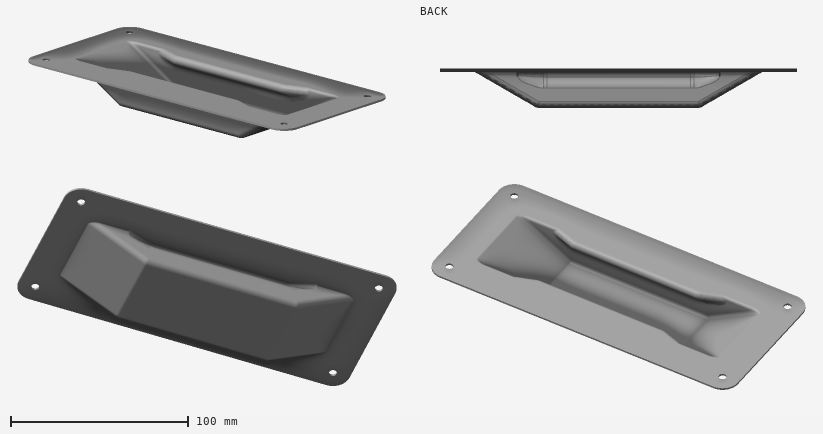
import cadquery as cq
import math

thickness = 1.2
bend_inner_radius = 2.0
bend_outer_radius = bend_inner_radius + thickness
lip_outer_radius = 0.5
lip_inner_radius = lip_outer_radius + thickness

flange_length = 200.0
flange_width = 90.0
flange_corner_radius = 10.0
hole_diameter = 4.5
hole_spacing_x = 180.0
hole_spacing_y = 70.0

tray_inner_depth = 20.0
tray_mouth_half_length = 80.0
slope_angle = math.radians(30)
wall_outer_y = 24.0
wall_inner_y = wall_outer_y - thickness

grip_edge_y = 20.2
groove_radius = 1.6
roll_radius = groove_radius + thickness
roll_axis_z = -roll_radius
blend_outer_radius = 6.5
blend_inner_radius = blend_outer_radius - thickness
grip_straight_half_length = 40.3
grip_bend_radius = 6.1
grip_end_angle = math.radians(19)
grip_end_gap = 0.05
grip_root_y = wall_outer_y + 4.0
bend_end_x = grip_straight_half_length + grip_bend_radius * math.sin(grip_end_angle)
bend_end_y = grip_edge_y + grip_bend_radius * (1 - math.cos(grip_end_angle))
grip_end_y = wall_outer_y + groove_radius - grip_end_gap
bend_section_count = 3
end_section_count = 5


def flange():
    plate = cq.Workplane("XY").box(flange_length, flange_width, thickness, centered=(True, True, False))
    plate = plate.translate((0, 0, -thickness)).edges("|Z").fillet(flange_corner_radius)
    holes = cq.Workplane("XY").rect(hole_spacing_x, hole_spacing_y, forConstruction=True).vertices()
    return plate.cut(holes.circle(hole_diameter / 2).extrude(-thickness))


def tray_block(offset, half_width, bend_radius):
    """Solid trough whose floor and slopes lie `offset` outside the inner tray surface."""
    depth = tray_inner_depth + offset
    mouth_half = tray_mouth_half_length + offset / math.sin(slope_angle)
    floor_half = mouth_half - depth / math.tan(slope_angle)
    outline = [(-mouth_half, 0), (-floor_half, -depth), (floor_half, -depth), (mouth_half, 0)]
    block = cq.Workplane("XZ").polyline(outline).close().extrude(half_width, both=True)
    return block.edges("not >Z").fillet(bend_radius)


def fillet_mouth(body, z, radius):
    """Round the edges where the tray meets the flange face at height z."""
    half_x = (tray_mouth_half_length + flange_length / 2) / 2
    half_y = (wall_outer_y + flange_width / 2) / 2
    half_z = thickness / 10
    reach = cq.selectors.BoxSelector((-half_x, -half_y, z - half_z), (half_x, half_y, z + half_z))
    return body.edges(reach).fillet(radius)


def tray_shell():
    body = flange().union(tray_block(thickness, wall_outer_y, bend_outer_radius))
    body = fillet_mouth(body, -thickness, lip_outer_radius)
    body = body.cut(tray_block(0, wall_inner_y, bend_inner_radius))
    return fillet_mouth(body, 0, lip_inner_radius)


def blend_axis(edge_y):
    """Axis (Y, Z) of the arc tangent to both the groove and the outer face of the side wall."""
    y = wall_outer_y - blend_outer_radius
    z = roll_axis_z - math.sqrt((groove_radius + blend_outer_radius) ** 2 - (edge_y - y) ** 2)
    return y, z


def arc_point(axis_y, axis_z, radius, angle):
    return axis_y + radius * math.cos(angle), axis_z + radius * math.sin(angle)


def roll_points(edge_y, roll, blend):
    """Roll arc middle, tangent point, blend arc middle and wall point for one face of the sheet."""
    axis_y, axis_z = blend_axis(edge_y)
    tilt = math.atan2(roll_axis_z - axis_z, edge_y - axis_y)
    end = math.pi + tilt
    middle = (math.pi / 2 + end) / 2
    return (
        arc_point(edge_y, roll_axis_z, roll, middle),
        arc_point(edge_y, roll_axis_z, roll, end),
        arc_point(axis_y, axis_z, blend, tilt / 2),
        arc_point(axis_y, axis_z, blend, 0),
    )


def section_plane(x):
    return cq.Workplane(cq.Plane(origin=(x, 0, 0), xDir=(0, 1, 0), normal=(1, 0, 0)))


def groove_section(x, edge_y):
    """Space behind the roll, below the flange and outside the side wall."""
    roll_mid, tangent, blend_mid, wall = roll_points(edge_y, groove_radius, blend_outer_radius)
    outline = section_plane(x).moveTo(edge_y, -thickness).threePointArc(roll_mid, tangent)
    outline = outline.threePointArc(blend_mid, wall)
    outline = outline.lineTo(grip_root_y, wall[1]).lineTo(grip_root_y, -thickness).close()
    return outline.wire()


def roll_section(x, edge_y):
    """Solid roll from the flange edge to the inside of the side wall, before the groove hollows it."""
    roll_mid, tangent, blend_mid, wall = roll_points(edge_y, roll_radius, blend_inner_radius)
    outline = section_plane(x).moveTo(grip_root_y, 0).lineTo(edge_y, 0)
    outline = outline.threePointArc(roll_mid, tangent).threePointArc(blend_mid, wall)
    outline = outline.lineTo(wall_inner_y + thickness / 2, wall[1]).lineTo(grip_root_y, -thickness / 2)
    return outline.close().wire()


def grip_stations():
    """(X, edge Y) of the sections through the curved bend and through the slanted end."""
    bend = []
    for i in range(bend_section_count):
        angle = grip_end_angle * i / (bend_section_count - 1)
        x = grip_straight_half_length + grip_bend_radius * math.sin(angle)
        bend.append((x, grip_edge_y + grip_bend_radius * (1 - math.cos(angle))))
    end = []
    for i in range(end_section_count):
        share = math.sin(math.pi / 2 * i / (end_section_count - 1))
        edge_y = bend_end_y + share * (grip_end_y - bend_end_y)
        end.append((bend_end_x + (edge_y - bend_end_y) / math.tan(grip_end_angle), edge_y))
    return bend, end


def grip_body(section):
    """Solid with the given section along the +Y grip: straight middle, bends and slanted ends."""
    middle = section(-grip_straight_half_length, grip_edge_y)
    body = middle.extrude(2 * grip_straight_half_length)
    for stations in grip_stations():
        wires = [section(x, edge_y).val() for x, edge_y in stations]
        piece = cq.Workplane(cq.Solid.makeLoft(wires))
        body = body.union(piece).union(piece.mirror("YZ"))
    return body


def add_grips(shell):
    roll = grip_body(roll_section)
    groove = grip_body(groove_section)
    shell = shell.union(roll).union(roll.mirror("XZ"))
    return shell.cut(groove).cut(groove.mirror("XZ"))


result = add_grips(tray_shell())